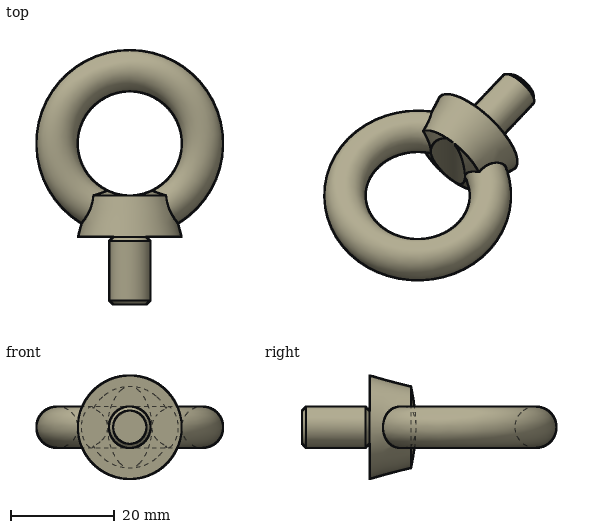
import cadquery as cq
import math


ring_bore_diameter = 20.0
ring_wire_diameter = 8.0
bore_radius = ring_bore_diameter / 2
wire_radius = ring_wire_diameter / 2
ring_mean_radius = bore_radius + wire_radius

collar_diameter = 20.0
collar_height = 8.0
collar_taper_angle = 15.0
collar_radius = collar_diameter / 2
taper_slope = math.tan(math.radians(collar_taper_angle))
collar_top_radius = collar_radius - collar_height * taper_slope
collar_apex_height = collar_height + collar_top_radius * taper_slope

ring_center_height = collar_height + bore_radius

shank_diameter = 8.0
shank_length = 13.0
shank_chamfer = 0.8
shank_radius = shank_diameter / 2


def make_ring():
    """Round wire swept in a full circle about the Z direction, starting inside the collar."""
    wire_section = (
        cq.Workplane("YZ")
        .center(ring_center_height - ring_mean_radius, 0)
        .circle(wire_radius)
    )
    return wire_section.revolve(360, (ring_mean_radius, 0, 0), (ring_mean_radius, 1, 0))


def make_collar():
    """Tapered collar with a shallow conical top, scooped out by the ring bore."""
    half_profile = (
        cq.Workplane("XY")
        .lineTo(collar_radius, 0)
        .lineTo(collar_top_radius, collar_height)
        .lineTo(0, collar_apex_height)
        .close()
    )
    collar = half_profile.revolve(360, (0, 0, 0), (0, 1, 0))
    bore = (
        cq.Workplane("XY")
        .center(0, ring_center_height)
        .circle(bore_radius)
        .extrude(collar_radius, both=True)
    )
    return collar.cut(bore)


def make_shank():
    """Plain shank, chamfered at the tip and where it meets the collar."""
    shank = cq.Workplane("XZ").circle(shank_radius).extrude(shank_length)
    return shank.faces("<Y or >Y").chamfer(shank_chamfer)


result = make_collar().union(make_ring()).union(make_shank())